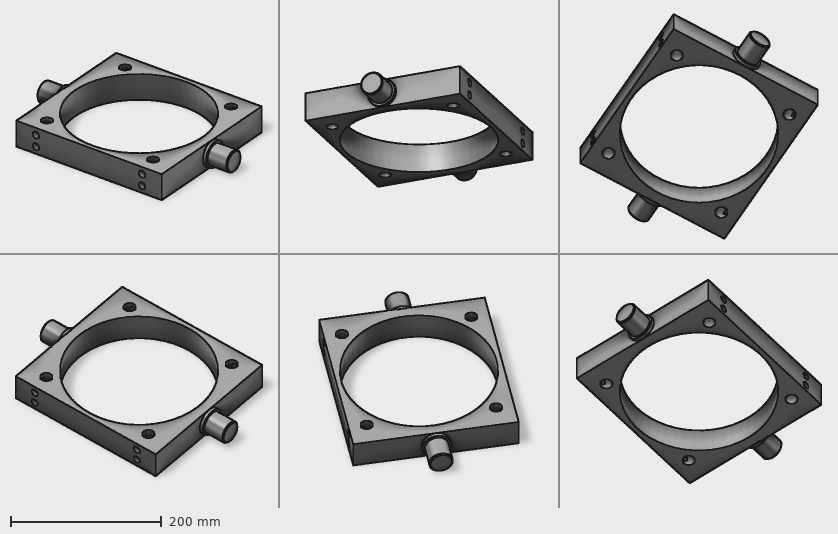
import cadquery as cq

total_length = 314.0
block_x = 240.0
block_y = 224.0
block_z = 40.0
bore_diameter = 210.0

pin_diameter = 32.0
pin_chamfer = 1.5
collar_diameter = 39.0
collar_width = 5.0

hole_spacing = 175.0
corner_hole_diameter = 16.3
side_hole_diameter = 10.5
side_hole_pitch = 18.0
side_hole_depth = (block_y - hole_spacing) / 2


def make_frame():
    """Block with the central bore and four corner holes."""
    frame = cq.Workplane("XY").box(block_x, block_y, block_z)
    frame = frame.faces(">Z").workplane().hole(bore_diameter)
    return (
        frame.faces(">Z").workplane()
        .rect(hole_spacing, hole_spacing, forConstruction=True)
        .vertices()
        .hole(corner_hole_diameter)
    )


def make_trunnion(side):
    """Collar and chamfered pin on the +X (side=1) or -X (side=-1) face."""
    pin_length = (total_length - block_x) / 2
    face = cq.Workplane("YZ", origin=(side * block_x / 2, 0, 0))
    collar = face.circle(collar_diameter / 2).extrude(side * collar_width)
    pin = face.circle(pin_diameter / 2).extrude(side * pin_length)
    end_face = ">X" if side > 0 else "<X"
    return collar.union(pin.faces(end_face).chamfer(pin_chamfer))


def make_side_holes(side):
    """Holes in the +Y (side=1) or -Y (side=-1) face, two opening into each corner hole."""
    return (
        cq.Workplane("XZ", origin=(0, side * block_y / 2, 0))
        .rect(hole_spacing, side_hole_pitch, forConstruction=True)
        .vertices()
        .circle(side_hole_diameter / 2)
        .extrude(side * side_hole_depth)
    )


result = make_frame()
for side in (-1, 1):
    result = result.cut(make_side_holes(side))
    result = result.union(make_trunnion(side))